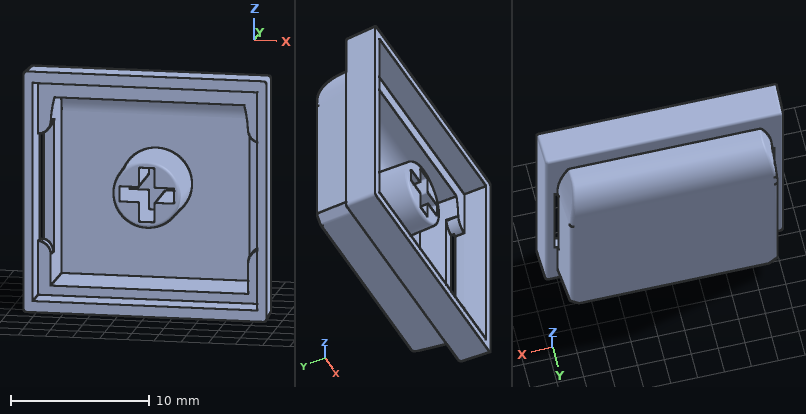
import cadquery as cq
import math

SIZE = 17.9
TOTAL_DEPTH = 5.5
DRAFT = math.tan(math.radians(5))
TOP_CORNER_LEAN = 0.25

SKIRT_DEPTH = 2.5
SKIRT_INSET = 0.09
SKIRT_CORNER = 0.25
EDGE_ROUND = 0.25
MOUTH_WIDTH = 16.52
MOUTH_HEIGHT = 16.22
MOUTH_INSET = 0.07
LEDGE_Y = 1.75

CAP_HALF_WIDTH = 7.98
CAP_BOTTOM = -8.07
CAP_TOP = 7.41
CAP_TOP_HALF_WIDTH = 7.16
CAP_BOW_START = 4.4
CAP_LOWER_CHAMFER = 0.63
CHAMFER_BLEND = 0.29
CROWN_RADIUS = 2.25
WALL = 0.75

CAVITY_HALF_WIDTH = 7.27
CAVITY_BOTTOM = -7.32
CAVITY_TOP = 6.7
CAVITY_TOP_HALF_WIDTH = 6.98
CAVITY_BOW_START = 4.48
CAVITY_CROWN_RADIUS = 1.7
CAVITY_DEPTH_Y = TOTAL_DEPTH - WALL

SLOT_BACK_Y = 2.72
SLOT_HALF_HEIGHT = 4.0
SLOT_CENTER_Z = -0.05

STEM_FRONT_Y = 0.72
STEM_CENTER_Z = -0.04
STEM_BASE_RADIUS = 2.6
STEM_FRONT_RADIUS = 2.49
CROSS_LENGTH = 4.03
CROSS_WIDTH = 1.13
CROSS_CORNER = 0.1


def plane_at(y):
    """Plane facing +Y; local x is -X and local y is Z."""
    return cq.Workplane(cq.Plane((0, y, 0), (-1, 0, 0), (0, 1, 0)))


def bowed_outline(y, half_width, bottom, top, top_half_width, bow_start):
    """Rectangle whose upper sides bow inward, tangent to the straight sides."""
    inward = half_width - top_half_width
    rise = top - bow_start
    radius = (inward**2 + rise**2) / (2 * inward)
    angle = math.asin(rise / radius) / 2
    mid_x = half_width - radius * (1 - math.cos(angle))
    mid_z = bow_start + radius * math.sin(angle)
    return (
        plane_at(y)
        .moveTo(-half_width, bottom)
        .lineTo(half_width, bottom)
        .lineTo(half_width, bow_start)
        .threePointArc((mid_x, mid_z), (top_half_width, top))
        .lineTo(-top_half_width, top)
        .threePointArc((-mid_x, mid_z), (-half_width, bow_start))
        .close()
        .val()
    )


def drafted_block(y0, y1, half_width, bottom, top, top_half_width, bow_start):
    """Loft between bowed outlines, with sides and bottom leaning in toward y1."""
    inset = (y1 - y0) * DRAFT
    front = bowed_outline(y0, half_width, bottom, top, top_half_width, bow_start)
    back = bowed_outline(
        y1, half_width - inset, bottom + inset, top, top_half_width - inset * TOP_CORNER_LEAN, bow_start - inset
    )
    return cq.Workplane(cq.Solid.makeLoft([front, back], True))


def crown_envelope(y0, y1, top, radius):
    """Long bar with its upper back edge rounded; it trims a block to a crown."""
    return (
        cq.Workplane("XY")
        .box(SIZE, y1 - y0, SIZE / 2 + top, centered=(True, False, False))
        .translate((0, y0, -SIZE / 2))
        .edges(">Y and >Z")
        .fillet(radius)
    )


def tapered_block(y0, y1, width, height, inset):
    taper = math.degrees(math.atan(inset / (y1 - y0)))
    return plane_at(y0).rect(width, height).extrude(y1 - y0, taper=taper)


def make_skirt():
    skirt = tapered_block(0, SKIRT_DEPTH, SIZE, SIZE, SKIRT_INSET)
    skirt = skirt.edges("not (#Y or |X or |Z)").fillet(SKIRT_CORNER)
    return skirt.faces(">Y").edges().fillet(EDGE_ROUND)


def make_cap():
    cap = drafted_block(
        SKIRT_DEPTH, TOTAL_DEPTH, CAP_HALF_WIDTH, CAP_BOTTOM, CAP_TOP, CAP_TOP_HALF_WIDTH, CAP_BOW_START
    )
    lower_corners = cq.selectors.BoxSelector(
        (-SIZE, SKIRT_DEPTH + WALL, CAP_BOTTOM), (SIZE, TOTAL_DEPTH - WALL, CAP_BOTTOM + WALL)
    )
    side_corners = cap.edges(lower_corners).edges("not |X")
    cap = side_corners.chamfer(CAP_LOWER_CHAMFER)
    cap = cap.edges(lower_corners).edges("not |X").fillet(CHAMFER_BLEND)
    cap = cap.intersect(crown_envelope(SKIRT_DEPTH, TOTAL_DEPTH, CAP_TOP, CROWN_RADIUS))
    return cap.faces(">Y").edges("not >Z").fillet(EDGE_ROUND)


def make_cavity():
    cavity = drafted_block(
        LEDGE_Y,
        CAVITY_DEPTH_Y,
        CAVITY_HALF_WIDTH,
        CAVITY_BOTTOM,
        CAVITY_TOP,
        CAVITY_TOP_HALF_WIDTH,
        CAVITY_BOW_START,
    )
    return cavity.intersect(crown_envelope(LEDGE_Y, CAVITY_DEPTH_Y, CAVITY_TOP, CAVITY_CROWN_RADIUS))


def make_slots():
    """Gaps through both side ledges, flared inward by the rounded ledge ends."""
    outer = MOUTH_WIDTH / 2 - MOUTH_INSET
    inner = CAVITY_HALF_WIDTH
    end_radius = outer - inner
    bend = end_radius * math.sqrt(0.5)
    flare_z = SLOT_HALF_HEIGHT + end_radius
    slot = (
        plane_at(LEDGE_Y)
        .center(0, SLOT_CENTER_Z)
        .moveTo(outer, -SLOT_HALF_HEIGHT)
        .lineTo(outer, SLOT_HALF_HEIGHT)
        .threePointArc((outer - bend, flare_z - bend), (inner, flare_z))
        .lineTo(0, flare_z)
        .lineTo(0, -flare_z)
        .lineTo(inner, -flare_z)
        .threePointArc((outer - bend, bend - flare_z), (outer, -SLOT_HALF_HEIGHT))
        .close()
        .extrude(SLOT_BACK_Y - LEDGE_Y)
    )
    return slot.union(slot.mirror("YZ"))


def make_stem():
    length = CAVITY_DEPTH_Y - STEM_FRONT_Y
    taper = math.degrees(math.atan((STEM_BASE_RADIUS - STEM_FRONT_RADIUS) / length))
    stem = plane_at(STEM_FRONT_Y).circle(STEM_FRONT_RADIUS).extrude(length, taper=-taper)
    stem = stem.faces("<Y").edges().fillet(EDGE_ROUND)
    cross = (
        plane_at(STEM_FRONT_Y)
        .rect(CROSS_LENGTH, CROSS_WIDTH)
        .extrude(length)
        .union(plane_at(STEM_FRONT_Y).rect(CROSS_WIDTH, CROSS_LENGTH).extrude(length))
    )
    stem = stem.cut(cross.edges("|Y").fillet(CROSS_CORNER))
    return stem.translate((0, 0, STEM_CENTER_Z))


mouth = tapered_block(0, LEDGE_Y, MOUTH_WIDTH, MOUTH_HEIGHT, MOUTH_INSET)
shell = make_skirt().union(make_cap()).cut(mouth).cut(make_cavity()).cut(make_slots())
result = shell.union(make_stem())